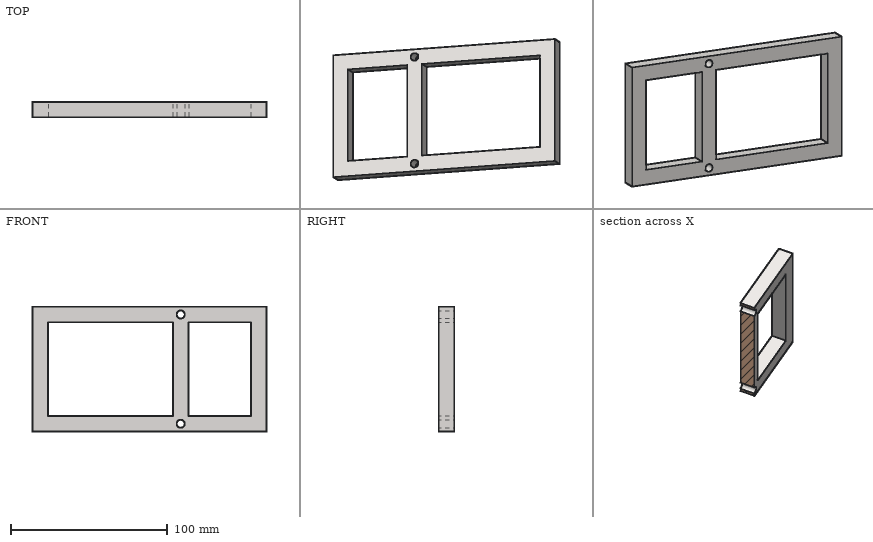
import cadquery as cq

bar_width = 10.0
frame_depth = 10.0
large_window_width = 80.0
small_window_width = 40.0
window_height = 60.0
hole_diameter = 5.0

frame_length = large_window_width + small_window_width + 3 * bar_width
frame_height = window_height + 2 * bar_width

large_window_start = bar_width
divider_start = large_window_start + large_window_width
divider_center = divider_start + bar_width / 2
small_window_start = divider_start + bar_width

hole_heights = (bar_width / 2, frame_height - bar_width / 2)


def block(start_x, start_z, width, height):
    """Block spanning the full frame depth, from its lower left corner."""
    return cq.Workplane("XY").box(width, frame_depth, height, centered=False).translate((start_x, 0, start_z))


def window(start_x, width):
    """Rectangular opening between the bottom and top bars."""
    return block(start_x, bar_width, width, window_height)


def through_hole(center_x, center_z):
    """Round hole running along Y through the frame."""
    axis_start = cq.Vector(center_x, 0, center_z)
    axis_direction = cq.Vector(0, 1, 0)
    return cq.Solid.makeCylinder(hole_diameter / 2, frame_depth, axis_start, axis_direction)


result = block(0, 0, frame_length, frame_height)
result = result.cut(window(large_window_start, large_window_width))
result = result.cut(window(small_window_start, small_window_width))

for hole_height in hole_heights:
    result = result.cut(through_hole(divider_center, hole_height))